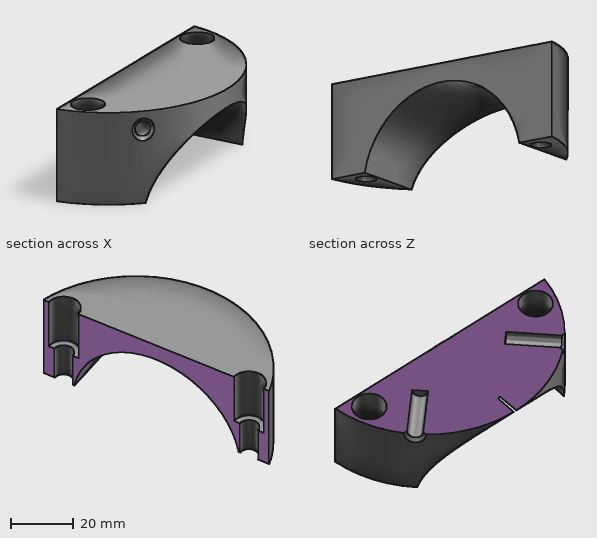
import math
import cadquery as cq

body_radius = 44.45
flat_x = 6.35
body_height = 31.75

bore_radius = 31.5
bore_crown_wall = 6.35
bore_axis_z = body_height - bore_crown_wall - bore_radius

mount_hole_diameter = 6.76
counterbore_diameter = 11.11
counterbore_depth = 19.05
mount_x = 12.7
mount_y = 34.925

radial_hole_diameter = 5.11
countersink_diameter = 7.7
countersink_depth = 1.0
radial_hole_angle = 45
radial_hole_drop = 6.35
radial_hole_depth = 19.05
radial_hole_z = body_height - radial_hole_drop


def make_body():
    """Circular segment on the +X side of the flat."""
    half_chord = math.sqrt(body_radius**2 - flat_x**2)
    return (
        cq.Workplane("XY")
        .moveTo(flat_x, -half_chord)
        .threePointArc((body_radius, 0), (flat_x, half_chord))
        .close()
        .extrude(body_height)
    )


def make_bore():
    """Cylinder along X whose axis lies below the base."""
    return (
        cq.Workplane("YZ")
        .center(0, bore_axis_z)
        .circle(bore_radius)
        .extrude(body_radius)
    )


def make_radial_hole(angle):
    """Blind hole aimed at the body axis, with a cone at the round face."""
    outward = cq.Vector(math.cos(math.radians(angle)), math.sin(math.radians(angle)), 0)
    inward = outward * -1
    mouth = outward * body_radius + cq.Vector(0, 0, radial_hole_z)
    hole = cq.Solid.makeCylinder(radial_hole_diameter / 2, radial_hole_depth, mouth, inward)
    cone = cq.Solid.makeCone(
        countersink_diameter / 2,
        radial_hole_diameter / 2,
        countersink_depth,
        mouth,
        inward,
    )
    return cq.Workplane(hole.fuse(cone))


result = make_body().cut(make_bore())
result = (
    result.faces(">Z")
    .workplane(origin=(0, 0, body_height))
    .pushPoints([(mount_x, -mount_y), (mount_x, mount_y)])
    .cboreHole(mount_hole_diameter, counterbore_diameter, counterbore_depth)
)
for angle in (-radial_hole_angle, radial_hole_angle):
    result = result.cut(make_radial_hole(angle))